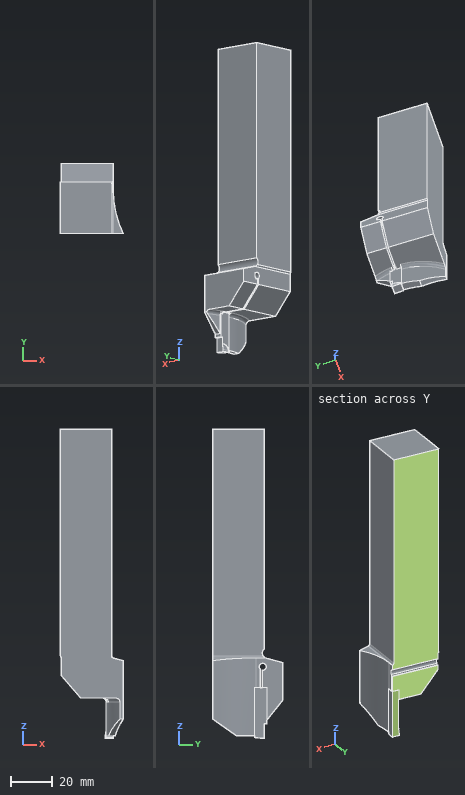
import cadquery as cq
import math

height = 150.0
width = 30.6
depth = 34.0
shank_side = 25.0

head_top = 40.2
step_bottom = 39.2
step_in = 0.5
bevel_top = 30.6
bevel_width = 9.5
head_bottom = 19.6
ledge_start = 39.3
ledge_angle = math.radians(15)
relief_radius = 2.5
relief_depth = 0.9
ledge_blend = 0.8

curve_center_y = 21.0
outer_apex_x = 25.8
inner_apex_x = 22.2
inner_edge_x = 29.0
blade_bottom = 1.4
blade_flat_start = 11.5
blade_front_bottom = 9.5
blade_back_bottom = 8.8
blade_back_top = 18.6
root_fillet = 1.8

slit_width = 0.9
slit_y = 23.5
slit_hole_y = 24.3
slit_hole_z = 34.8
slit_hole_radius = 1.6

seat_y = 20.4
clamp_y = 26.2
insert_top = 24.8
rake_y = 25.0
rake_top = 7.2
tip_height = 4.0
tip_bottom_low = 0.5
tip_overhang = 0.5
flare_bottom = 1.0


def arc_radius(offset):
    """Radius of an arc tangent to Y at curve_center_y and offset in X at Y = 0."""
    return (curve_center_y ** 2 + offset ** 2) / (2 * offset)


outer_radius = arc_radius(width - outer_apex_x)
inner_radius = arc_radius(inner_edge_x - inner_apex_x)


def arc_x(apex_x, radius, y):
    """X of a curved blade face at a given Y."""
    return apex_x + radius - math.sqrt(radius ** 2 - (y - curve_center_y) ** 2)


def ledge_height(distance):
    """Z of the sloped ledge at a distance outward from the shank."""
    return ledge_start - distance * math.tan(ledge_angle)


def along_x(points, x_start, x_end):
    """Prism of a (Y, Z) outline between two X planes."""
    return cq.Workplane("YZ", origin=(x_start, 0, 0)).polyline(points).close().extrude(x_end - x_start)


def make_head_block():
    blend_length = ledge_blend * math.cos(ledge_angle)
    block = (
        cq.Workplane("XZ")
        .moveTo(0, head_top)
        .lineTo(shank_side, head_top)
        .lineTo(shank_side, ledge_start + ledge_blend)
        .tangentArcPoint((shank_side + blend_length, ledge_height(blend_length)), relative=False)
        .lineTo(width, ledge_height(width - shank_side))
        .lineTo(width, head_bottom)
        .lineTo(step_in + bevel_width, head_bottom)
        .lineTo(step_in, bevel_top)
        .lineTo(step_in, step_bottom)
        .close()
        .extrude(-depth)
    )
    side_outline = [
        (0, 0),
        (depth, 0),
        (depth, ledge_height(depth - shank_side)),
        (shank_side, ledge_start),
        (shank_side, head_top),
        (0, head_top),
    ]
    return block.intersect(along_x(side_outline, 0, width))


def make_blade():
    plan = (
        cq.Workplane("XY", origin=(0, 0, blade_bottom))
        .moveTo(width, 0)
        .lineTo(inner_edge_x, 0)
        .threePointArc(
            (arc_x(inner_apex_x, inner_radius, curve_center_y / 2), curve_center_y / 2),
            (inner_apex_x, curve_center_y),
        )
        .threePointArc(
            (arc_x(inner_apex_x, inner_radius, (curve_center_y + depth) / 2), (curve_center_y + depth) / 2),
            (arc_x(inner_apex_x, inner_radius, depth), depth),
        )
        .lineTo(width, depth)
        .close()
    )
    return plan.extrude(head_bottom - blade_bottom)


def make_holder():
    holder = make_head_block().union(make_blade())
    root = cq.selectors.BoxSelector(
        (inner_apex_x - 0.2, -0.2, head_bottom - 0.2),
        (inner_edge_x, depth + 0.2, head_bottom + 0.2),
    )
    holder = holder.edges(root).edges("%CIRCLE").fillet(root_fillet)

    blade_side = [
        (0, head_top),
        (0, blade_front_bottom),
        (blade_flat_start, blade_bottom),
        (seat_y, blade_bottom),
        (clamp_y, blade_back_bottom),
        (depth, blade_back_top),
        (depth, head_top),
    ]
    holder = holder.intersect(along_x(blade_side, 0, width))

    outer_space = (
        cq.Workplane("XY")
        .moveTo(width, 0)
        .threePointArc(
            (arc_x(outer_apex_x, outer_radius, curve_center_y / 2), curve_center_y / 2),
            (outer_apex_x, curve_center_y),
        )
        .lineTo(outer_apex_x, depth)
        .lineTo(width, depth)
        .close()
        .extrude(head_top)
    )
    holder = holder.cut(outer_space)

    shank = cq.Workplane("XY", origin=(0, 0, head_top)).box(
        shank_side, shank_side, height - head_top, centered=False
    )
    holder = holder.union(shank)

    relief_out = relief_radius - relief_depth
    relief_height = ledge_height(relief_out) + relief_radius / math.cos(ledge_angle)
    relief = (
        cq.Workplane("YZ")
        .center(shank_side + relief_out, relief_height)
        .circle(relief_radius)
        .extrude(width)
    )
    slit_hole = cq.Workplane("YZ").center(slit_hole_y, slit_hole_z).circle(slit_hole_radius).extrude(width)
    slit = cq.Workplane("XY", origin=(0, slit_y - slit_width / 2, 0)).box(
        width, slit_width, slit_hole_z, centered=False
    )
    pocket = cq.Workplane("XY", origin=(inner_apex_x, seat_y, 0)).box(
        width, clamp_y - seat_y, insert_top, centered=False
    )
    fillet_clearance = cq.Workplane("XY", origin=(inner_apex_x - 2 * root_fillet, seat_y, 0)).box(
        2 * root_fillet, rake_y - seat_y, head_bottom, centered=False
    )
    return holder.cut(relief).cut(slit_hole).cut(slit).cut(pocket).cut(fillet_clearance)


def make_insert():
    body_outline = [
        (seat_y, insert_top),
        (clamp_y, insert_top),
        (clamp_y, rake_top),
        (rake_y, rake_top),
        (rake_y, 0),
        (seat_y, tip_bottom_low),
    ]
    body = along_x(body_outline, inner_apex_x, outer_apex_x)
    tip = (
        cq.Workplane("YZ", origin=(inner_apex_x - tip_overhang, 0, 0))
        .moveTo(rake_y, 0)
        .lineTo(rake_y, tip_height)
        .threePointArc(
            (rake_y - (rake_y - seat_y) * math.sin(math.pi / 4),
             tip_bottom_low + (tip_height - tip_bottom_low) * math.sin(math.pi / 4)),
            (seat_y, tip_bottom_low),
        )
        .close()
        .extrude(outer_apex_x - inner_apex_x + tip_overhang)
    )
    flare = (
        cq.Workplane("XZ")
        .moveTo(outer_apex_x, 0)
        .lineTo(inner_apex_x - tip_overhang, 0)
        .lineTo(inner_apex_x - tip_overhang, flare_bottom)
        .lineTo(inner_apex_x, tip_height)
        .lineTo(outer_apex_x, tip_height)
        .close()
        .extrude(-depth)
    )
    return body.union(tip.intersect(flare))


holder = make_holder()
insert = make_insert()
result = cq.Compound.makeCompound([holder.val(), insert.val()])